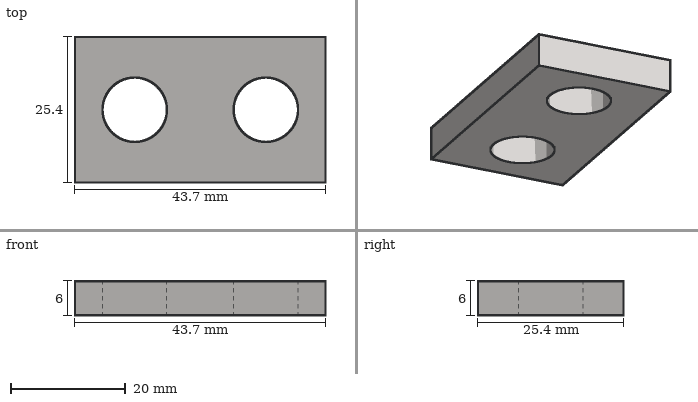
import cadquery as cq

length = 43.7
width = 25.4
thickness = 6.0

hole_diameter = 11.2
hole_spacing = 22.85

plate = cq.Workplane("XY").box(length, width, thickness)

result = (
    plate.faces(">Z")
    .workplane()
    .pushPoints([(-hole_spacing / 2, 0), (hole_spacing / 2, 0)])
    .hole(hole_diameter)
)